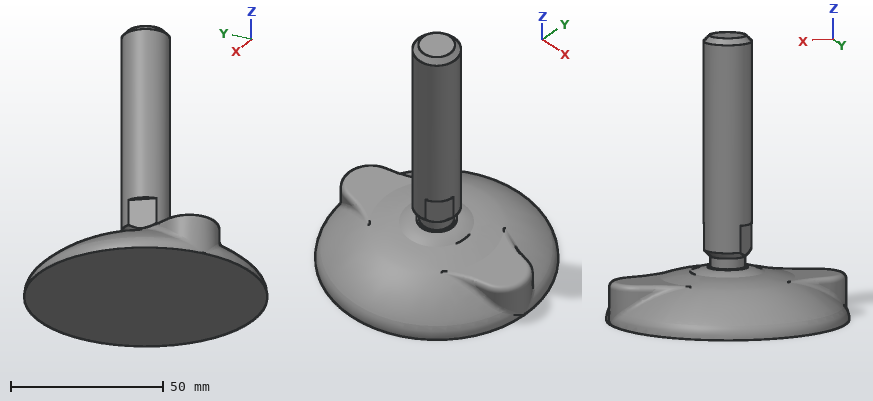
import cadquery as cq
import math

total_height = 94.8
base_radius = 40.0

stem_radius = 16.0 / 2
stem_end_chamfer = 2.0
neck_radius = 11.7 / 2
shoulder_height = 21.2
shoulder_chamfer = stem_radius - neck_radius
flat_top_height = 32.3
flat_distance = 13.0 / 2
flat_angle = -38.0

hub_height = 17.5
hub_foot_radius = 12.3
hub_foot_height = 16.0
dome_edge_radius = 38.2
dome_edge_height = 4.5
socket_radius = 13.4 / 2
socket_depth = 1.9
socket_floor = hub_height - socket_depth
collar_top = hub_height + 0.2

lug_height = 14.1
lug_dome_radius = 22.2
lug_nose_radius = 10.0
lug_flare_angle = math.radians(14.0)
lug_inner_end = 5.7
lug_block_height = 23.7
lug_tip_x = 16.7
lug_fillet = 2.0

plane_tolerance = 0.01
dome_border_margin = 0.1


def make_stem():
    """Round stem with a chamfered top, a conical shoulder, a thinner neck and a low collar."""
    stem = (
        cq.Workplane("XZ")
        .moveTo(0, socket_floor)
        .lineTo(socket_radius, socket_floor)
        .lineTo(socket_radius, collar_top)
        .lineTo(neck_radius, collar_top)
        .lineTo(neck_radius, shoulder_height)
        .lineTo(stem_radius, shoulder_height + shoulder_chamfer)
        .lineTo(stem_radius, total_height - stem_end_chamfer)
        .lineTo(stem_radius - stem_end_chamfer, total_height)
        .lineTo(0, total_height)
        .close()
        .revolve(360, (0, 0, 0), (0, 1, 0))
    )
    return stem.cut(make_flat_cutters())


def make_flat_cutters():
    """Two blocks that leave a pair of parallel wrench flats above the neck."""
    cutters = cq.Workplane("XY", origin=(0, 0, shoulder_height))
    block_centre = flat_distance + stem_radius / 2
    cutters = cutters.pushPoints([(block_centre, 0), (-block_centre, 0)])
    cutters = cutters.rect(stem_radius, 2 * stem_radius).extrude(flat_top_height - shoulder_height)
    return cutters.rotate((0, 0, 0), (0, 0, 1), flat_angle)


def make_dome():
    """Domed disc whose rim arc becomes vertical at the floor, with a rounded hub in the middle."""
    rim_inset = base_radius - dome_edge_radius
    rim_arc_radius = (dome_edge_height**2 + rim_inset**2) / (2 * rim_inset)
    rim_arc_half_angle = math.asin(dome_edge_height / rim_arc_radius) / 2
    rim_middle = (
        base_radius - rim_arc_radius * (1 - math.cos(rim_arc_half_angle)),
        rim_arc_radius * math.sin(rim_arc_half_angle),
    )
    hub_rise = hub_height - hub_foot_height
    hub_run = hub_foot_radius - socket_radius
    hub_arc_radius = (hub_run**2 + hub_rise**2) / (2 * hub_rise)
    hub_arc_half_angle = math.asin(hub_run / hub_arc_radius) / 2
    hub_middle = (
        socket_radius + hub_arc_radius * math.sin(hub_arc_half_angle),
        hub_height - hub_arc_radius * (1 - math.cos(hub_arc_half_angle)),
    )
    return (
        cq.Workplane("XZ")
        .lineTo(base_radius, 0)
        .threePointArc(rim_middle, (dome_edge_radius, dome_edge_height))
        .threePointArc((lug_dome_radius, lug_height), (hub_foot_radius, hub_foot_height))
        .threePointArc(hub_middle, (socket_radius, hub_height))
        .lineTo(0, hub_height)
        .close()
        .revolve(360, (0, 0, 0), (0, 1, 0))
    )


def make_lug_block():
    """Tall block on the +X side: a round nose flush with the rim and flaring sides."""
    nose_centre = base_radius - lug_nose_radius
    tangent_x = nose_centre + lug_nose_radius * math.sin(lug_flare_angle)
    tangent_y = lug_nose_radius * math.cos(lug_flare_angle)
    inner_y = tangent_y + (tangent_x - lug_inner_end) * math.tan(lug_flare_angle)
    return (
        cq.Workplane("XY")
        .moveTo(lug_inner_end, -inner_y)
        .lineTo(tangent_x, -tangent_y)
        .threePointArc((base_radius, 0), (tangent_x, tangent_y))
        .lineTo(lug_inner_end, inner_y)
        .close()
        .extrude(lug_block_height)
    )


def is_lug_foot(edge):
    """True for the curved edges where the sides and nose of a lug meet the dome."""
    box = edge.BoundingBox()
    return edge.geomType() == "BSPLINE" and max(box.xmax, -box.xmin) > lug_dome_radius


def is_lug_rim(edge):
    """True for the edges around the level top of a lug, except its border with the dome."""
    box = edge.BoundingBox()
    middle = edge.positionAt(0.5)
    in_top_plane = box.zmin > lug_height - plane_tolerance and box.zmax < lug_height + plane_tolerance
    on_dome = math.hypot(middle.x, middle.y) < lug_dome_radius + dome_border_margin
    return in_top_plane and not on_dome


def make_rounded_lugs(dome, above_lugs):
    """Dome cut level at lug height, with both lugs blended into it and rounded on top."""
    block = make_lug_block()
    joined = dome.union(block).union(block.rotate((0, 0, 0), (0, 0, 1), 180))
    foot_edges = [edge for edge in joined.edges().vals() if is_lug_foot(edge)]
    blended = joined.newObject(foot_edges).fillet(lug_fillet)

    levelled = blended.cut(above_lugs)
    rim_edges = [edge for edge in levelled.edges().vals() if is_lug_rim(edge)]
    return levelled.newObject(rim_edges).fillet(lug_fillet)


def make_foot():
    """Dome with two opposite lugs and a socket for the collar of the stem."""
    dome = make_dome()
    above_lugs = cq.Workplane("XY", origin=(0, 0, lug_height)).circle(2 * base_radius).extrude(total_height)
    middle_block = cq.Workplane("XY").box(2 * lug_tip_x, 4 * base_radius, 2 * total_height)

    foot = dome.intersect(middle_block)
    for outer_piece in make_rounded_lugs(dome, above_lugs).cut(middle_block).solids().vals():
        foot = foot.union(cq.Workplane(outer_piece))
    foot = foot.union(dome.intersect(above_lugs)).clean()

    socket = cq.Workplane("XY", origin=(0, 0, socket_floor)).circle(socket_radius).extrude(2 * socket_depth)
    return foot.cut(socket)


stem = make_stem()
foot = make_foot()

result = cq.Compound.makeCompound([foot.val(), stem.val()])